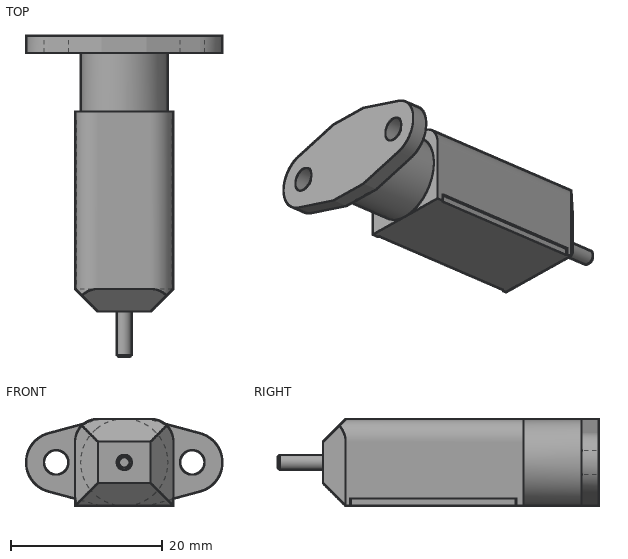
import cadquery as cq
import math


overall_length = 42.5
flange_thickness = 2.3
neck_end = 10.0
body_end = 36.5

flange_height = 11.53
flange_flat_width = 6.0
hole_offset = 9.0
hole_diameter = 3.2
ear_radius = 4.0

neck_diameter = 11.53
body_width = 13.0
body_height = 11.5
top_edge_radius = 3.0
nose_bevel = 3.0
pin_diameter = 2.0
pin_chamfer = 0.3

recess_start = 10.93
recess_length = 22.0
recess_height = 0.95
recess_depth = 0.2
recess_end_slope = 0.12

back_y = overall_length / 2


def section_plane(distance):
    """XZ sketch plane at a distance in front of the back face; extrusion runs towards the pin."""
    return cq.Workplane("XZ", origin=(0, back_y - distance, 0))


def make_flange():
    """Diamond plate: flat top and bottom, with straight flanks tangent to the round ears."""
    half_flat = flange_flat_width / 2
    half_height = flange_height / 2
    run = hole_offset - half_flat
    slope = math.atan2(half_height, run) - math.asin(ear_radius / math.hypot(run, half_height))
    tangent_x = hole_offset + ear_radius * math.sin(slope)
    tangent_z = ear_radius * math.cos(slope)
    ear_tip = hole_offset + ear_radius

    plate = (
        section_plane(0)
        .moveTo(-half_flat, half_height)
        .lineTo(half_flat, half_height)
        .lineTo(tangent_x, tangent_z)
        .threePointArc((ear_tip, 0), (tangent_x, -tangent_z))
        .lineTo(half_flat, -half_height)
        .lineTo(-half_flat, -half_height)
        .lineTo(-tangent_x, -tangent_z)
        .threePointArc((-ear_tip, 0), (-tangent_x, tangent_z))
        .close()
        .extrude(flange_thickness)
    )
    holes = (
        section_plane(0)
        .pushPoints([(-hole_offset, 0), (hole_offset, 0)])
        .circle(hole_diameter / 2)
        .extrude(flange_thickness)
    )
    return plate.cut(holes)


def make_neck():
    """Round neck from the back face to the body."""
    return section_plane(0).circle(neck_diameter / 2).extrude(neck_end)


def make_side_recess(side):
    """Cutter for the recess of one side (-1 or 1); it opens at the bottom and its ends slope inwards."""
    side_x = side * body_width / 2
    floor_x = side_x - side * recess_depth
    rear_y = back_y - recess_start
    front_y = rear_y - recess_length
    return (
        cq.Workplane("XY", origin=(0, 0, -body_height / 2))
        .moveTo(side_x, rear_y)
        .lineTo(floor_x, rear_y - recess_end_slope)
        .lineTo(floor_x, front_y + recess_end_slope)
        .lineTo(side_x, front_y)
        .close()
        .extrude(recess_height)
    )


def make_body():
    """Rectangular body with rounded upper long edges, bevelled nose and side recesses."""
    body = section_plane(neck_end).rect(body_width, body_height).extrude(body_end - neck_end)
    body = body.edges("|Y and >Z").fillet(top_edge_radius)

    envelope = section_plane(neck_end).rect(body_width, body_height).extrude(body_end - neck_end)
    envelope = envelope.faces("<Y").chamfer(nose_bevel)
    body = body.intersect(envelope)

    for side in (-1, 1):
        body = body.cut(make_side_recess(side))
    return body


def make_pin():
    """Probe pin with a chamfered tip."""
    pin = section_plane(body_end).circle(pin_diameter / 2).extrude(overall_length - body_end)
    return pin.faces("<Y").chamfer(pin_chamfer)


result = make_flange().union(make_neck()).union(make_body()).union(make_pin())